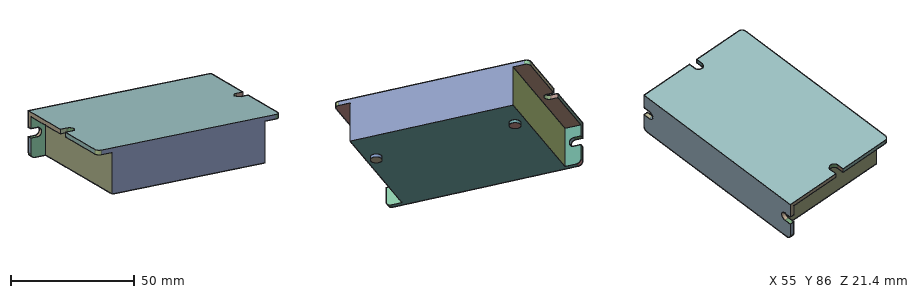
import cadquery as cq

length_x = 55.0
width_y = 86.0
height_z = 20.0
plate_thickness = 2.0
corner_radius = 2.0

slot_width = 4.0
slot_depth = 5.1
top_slot_x = length_x / 2
side_slot_z = 10.75

box_inset = 7.0

pin_diameter = 4.8
pin_height = 1.4
pin_spacing_y = 62.4
front_pin_x = 39.3
rear_pin_x = 41.9


def end_slots(workplane, position):
    """Cutters for one slot at each Y end, centred at the given place across the plate."""
    cutter_length = 2 * slot_depth
    ends = [(position, -width_y / 2), (position, width_y / 2)]
    return workplane.pushPoints(ends).slot2D(cutter_length, slot_width, 90)


def make_top_plate():
    plate = (
        cq.Workplane("XY", origin=(0, 0, height_z - plate_thickness))
        .rect(length_x, width_y)
        .extrude(plate_thickness)
        .translate((length_x / 2, 0, 0))
        .edges("|Z and >X")
        .fillet(corner_radius)
    )
    cutter = end_slots(cq.Workplane("XY"), top_slot_x).extrude(height_z)
    return plate.cut(cutter)


def make_side_plate():
    plate = (
        cq.Workplane("XY")
        .box(plate_thickness, width_y, height_z, centered=(False, True, False))
        .edges("|X and <Z")
        .fillet(corner_radius)
    )
    slot_plane = cq.Plane(origin=(plate_thickness, 0, 0), xDir=(0, 0, 1), normal=(-1, 0, 0))
    cutter = end_slots(cq.Workplane(slot_plane), side_slot_z).extrude(plate_thickness)
    return plate.cut(cutter)


def make_housing():
    box = cq.Workplane("XY").box(
        length_x - plate_thickness,
        width_y - 2 * box_inset,
        height_z - plate_thickness,
        centered=(False, True, False),
    )
    box = box.translate((plate_thickness, 0, 0))
    return make_top_plate().union(make_side_plate()).union(box)


def make_pin(x, y):
    return cq.Workplane("XY", origin=(x, y, 0)).circle(pin_diameter / 2).extrude(-pin_height)


housing = make_housing()

pin_places = [(front_pin_x, -pin_spacing_y / 2), (rear_pin_x, pin_spacing_y / 2)]
pins = [make_pin(x, y).val() for x, y in pin_places]

result = cq.Compound.makeCompound([housing.val(), *pins])